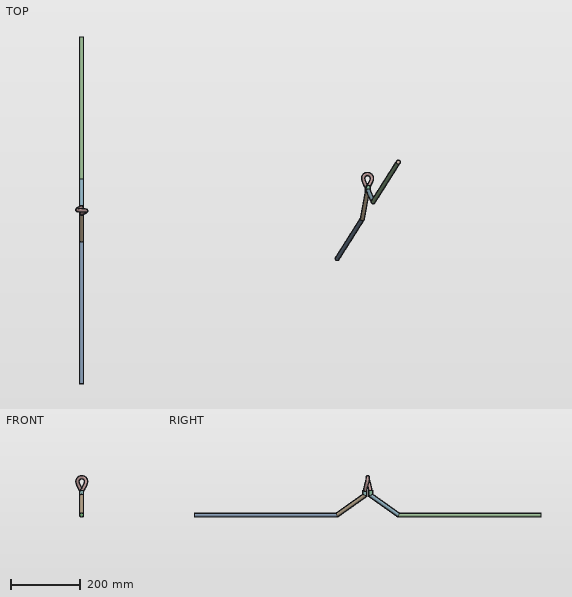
import cadquery as cq
import math

length = 1000.0
height = 120.0
wire_diameter = 12.0
wire_radius = wire_diameter / 2

leg_x = -0.5
leg_bend_y = 89.0
elbow_y = 8.5
elbow_z = 63.0
throat_z = 76.5

eye_width = 35.0
eye_wire_diameter = 10.0
eye_wire_radius = eye_wire_diameter / 2
eye_root_depth = 3.0
eye_side_y = 3.0
eye_steps = 8

eye_root_z = throat_z - eye_root_depth
eye_radius = eye_width / 2 - eye_wire_radius
eye_z = height - eye_wire_radius - eye_radius
tangent_angle = math.asin(eye_radius / (eye_z - eye_root_z))


def sweep_wire(path, start, direction, radius):
    """Sweep a round wire section along a path, with mitred corners."""
    section = cq.Workplane(cq.Plane(origin=start, normal=direction)).circle(radius)
    return section.sweep(path, transition="right")


def leg_and_arm(side):
    """Leg, arm and upright on the -Y side (side = -1) or the +Y side (side = 1)."""
    points = [
        cq.Vector(leg_x, side * length / 2, wire_radius),
        cq.Vector(leg_x, side * leg_bend_y, wire_radius),
        cq.Vector(leg_x, side * elbow_y, elbow_z),
        cq.Vector(leg_x, side * elbow_y, throat_z),
    ]
    path = cq.Workplane("XY").polyline(points)
    return sweep_wire(path, points[0], (0, -side, 0), wire_radius)


def eye_point(turn):
    """Point on the round of the eye, from its -Y end (turn = -1) to its +Y end (turn = 1)."""
    angle = math.pi / 2 + turn * (math.pi / 2 + tangent_angle)
    return cq.Vector(
        eye_radius * math.cos(angle),
        eye_side_y * turn**3,
        eye_z + eye_radius * math.sin(angle),
    )


def eye():
    """One smooth loop that rises from one upright and comes down into the other."""
    start = cq.Vector(leg_x, -elbow_y, eye_root_z)
    end = cq.Vector(leg_x, elbow_y, eye_root_z)
    top = [eye_point(2 * step / eye_steps - 1) for step in range(eye_steps + 1)]
    rise = (top[0] - start).normalized()
    fall = (end - top[-1]).normalized()
    path = cq.Workplane("XY").spline([start, *top, end], tangents=[rise, fall])
    return sweep_wire(path, start, rise, eye_wire_radius)


result = leg_and_arm(-1).union(eye()).union(leg_and_arm(1))